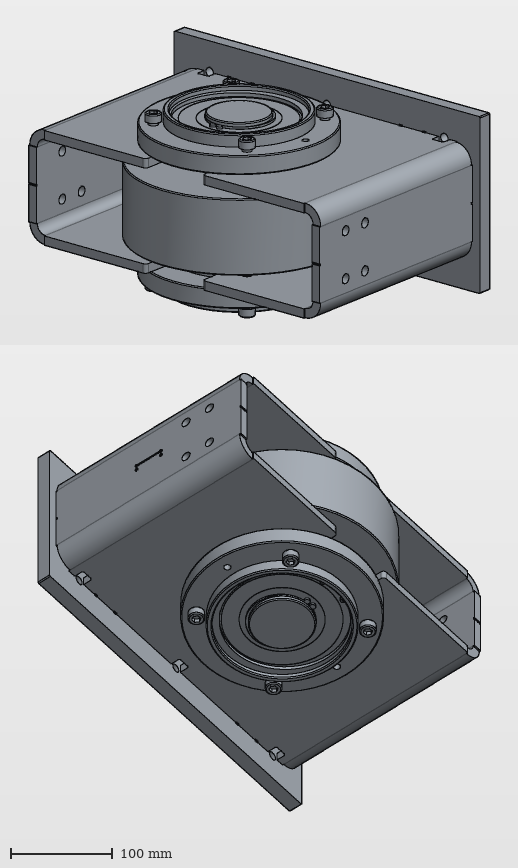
import cadquery as cq
import math


plate_width = 392.0
plate_height = 185.0
plate_thickness = 15.0
plate_back_y = 150.0
plate_front_y = plate_back_y - plate_thickness
plate_corner_chamfer = 1.0
plate_hole_radius = 4.7

bracket_width = 372.5
bracket_height = 120.0
sheet = 9.8
bend_radius = 20.0
bracket_front_y = -100.0
bracket_depth = plate_front_y - bracket_front_y
sheet_outer_z = bracket_height / 2
sheet_inner_z = sheet_outer_z - sheet
bend_setback = 1.5
seam_notch_width = 1.5
seam_notch_depth = 1.0

slot_half_width = 36.0
slot_corner_radius = 4.0
notch_spacing = 150.0
notch_xs = [-notch_spacing, 0, notch_spacing]
notch_width = 14.0
notch_depth = 10.5
notch_corner_radius = 2.0

tack_xs = [-124.5, -95.0, 95.0, 124.5]
tack_width = 4.0
tack_size = 1.0

side_hole_radius = 5.0
side_hole_ys = [-30.0, -60.0]
side_hole_z = 25.0
mark_y_start = 2.0
mark_y_end = 33.0
mark_top_z = 6.0
mark_groove_width = 1.0
mark_dot_radius = 1.5
mark_depth = 1.0

wheel_radius = 115.0
wheel_width = 80.0
wheel_chamfer = 1.0
shaft_radius = 33.5
shaft_end_z = 90.5
shaft_ring_radius = 35.0
shaft_ring_offset = 1.5
shaft_ring_thickness = 2.5
shaft_lug_x = 4.5
shaft_lug_y = -35.3
shaft_lug_radius = 3.0

housing_span = 186.2
housing_top_z = housing_span / 2
flange_radius = 100.0
flange_thickness = 20.0
flange_top_z = sheet_outer_z + flange_thickness
collar_radius = 75.0
edge_chamfer = 1.0
spigot_radius = 70.0
relief_depth = 1.5
relief_height = 4.0
pocket_radius = 69.0
floor_z = 84.0
shield_outer_radius = 60.0
shield_inner_radius = 42.5
shield_recess = 0.5

pocket_ring_top_z = 88.0
pocket_ring_inner_radius = 64.5
pocket_ring_offset = -3.5
pocket_ring_gap = 26.0
pocket_lug_x = 15.5
pocket_lug_y = -65.0
pocket_lug_radius = 3.0
pocket_lug_eye_radius = 1.0

grease_hole_x = 85.0
grease_hole_radius = 3.5

screw_pitch = 120.0
screw_radius = 5.0
screw_tip_z = 48.0
screw_tip_chamfer = 1.5
screw_head_radius = 8.2
screw_head_chamfer = 1.0
screw_head_z = 83.5
screw_top_z = 92.5
socket_width = 8.0
socket_depth = 4.7
screw_points = [(sx * screw_pitch / 2, sy * screw_pitch / 2) for sx in (-1, 1) for sy in (-1, 1)]


def cylinder(radius, bottom_z, top_z, points=((0, 0),)):
    """Upright cylinders of one radius at the given XY points."""
    base = cq.Workplane("XY", origin=(0, 0, bottom_z))
    return base.pushPoints(points).circle(radius).extrude(top_z - bottom_z)


def block(x_size, y_size, z_size, center):
    """Box of the given sizes around a centre point."""
    return cq.Workplane("XY", origin=center).box(x_size, y_size, z_size)


def build_plate():
    middle_y = plate_back_y - plate_thickness / 2
    plate = block(plate_width, plate_thickness, plate_height, (0, middle_y, 0))
    plate = plate.edges("|Y").chamfer(plate_corner_chamfer)
    hole_points = [(x, z) for x in notch_xs for z in (-sheet_outer_z, sheet_outer_z)]
    holes = (
        cq.Workplane("XZ", origin=(0, plate_back_y, 0))
        .pushPoints(hole_points)
        .circle(plate_hole_radius)
        .extrude(plate_thickness)
    )
    return plate.cut(holes)


def cut_bend_setbacks(bracket):
    """Shorten the four bends at both ends of the loop."""
    for x_side in (-1, 1):
        for z_side in (-1, 1):
            x = x_side * (bracket_width - bend_radius) / 2
            z = z_side * (bracket_height - bend_radius) / 2
            for y in (bracket_front_y, plate_front_y):
                bracket = bracket.cut(block(bend_radius, 2 * bend_setback, bend_radius, (x, y, z)))
    return bracket


def cut_seam_notches(bracket):
    """Nick the ends of both side walls at mid-height."""
    for y in (bracket_front_y, plate_front_y):
        bracket = bracket.cut(block(bracket_width, 2 * seam_notch_depth, seam_notch_width, (0, y, 0)))
    return bracket


def cut_sheet_openings(bracket):
    """Cut the spigot bores, shaft slots, plate-side notches and screw holes through both sheets."""
    bracket = bracket.cut(cylinder(spigot_radius, -sheet_outer_z, sheet_outer_z))
    slot_depth = -bracket_front_y
    slot = block(2 * slot_half_width, slot_depth, bracket_height, (0, -slot_depth / 2, 0))
    bracket = bracket.cut(slot)
    slot_corners = cq.selectors.BoxSelector(
        (-slot_half_width - slot_corner_radius, bracket_front_y - slot_corner_radius, -sheet_outer_z),
        (slot_half_width + slot_corner_radius, bracket_front_y + slot_corner_radius, sheet_outer_z),
    )
    bracket = bracket.edges("|Z").edges(slot_corners).fillet(slot_corner_radius)
    for x in notch_xs:
        notch = block(notch_width, notch_depth, bracket_height, (x, plate_front_y - notch_depth / 2, 0))
        bracket = bracket.cut(notch.edges("|Z and <Y").fillet(notch_corner_radius))
    return bracket.cut(cylinder(screw_radius, -sheet_outer_z, sheet_outer_z, screw_points))


def cut_side_holes(bracket):
    points = [(y, z) for y in side_hole_ys for z in (-side_hole_z, side_hole_z)]
    holes = (
        cq.Workplane("YZ", origin=(-bracket_width / 2, 0, 0))
        .pushPoints(points)
        .circle(side_hole_radius)
        .extrude(bracket_width)
    )
    return bracket.cut(holes)


def engrave_side_mark(bracket):
    """Shallow three-sided outline with round ends and corners in the -X wall."""
    x = -bracket_width / 2
    depth = 2 * mark_depth
    middle_y = (mark_y_start + mark_y_end) / 2
    length = mark_y_end - mark_y_start
    bracket = bracket.cut(block(depth, length, mark_groove_width, (x, middle_y, mark_top_z)))
    for y in (mark_y_start, mark_y_end):
        bracket = bracket.cut(block(depth, mark_groove_width, mark_top_z, (x, y, mark_top_z / 2)))
    dots = (
        cq.Workplane("YZ", origin=(x, 0, 0))
        .pushPoints([(y, z) for y in (mark_y_start, mark_y_end) for z in (0, mark_top_z)])
        .circle(mark_dot_radius)
        .extrude(mark_depth)
    )
    return bracket.cut(dots)


def add_tack_welds(bracket):
    """Small tacks standing on both faces of both sheets, against the plate."""
    for x in tack_xs:
        for z_side in (-1, 1):
            center = (x, plate_front_y - tack_size / 2, z_side * (sheet_outer_z + sheet_inner_z) / 2)
            bracket = bracket.union(block(tack_width, tack_size, sheet + 2 * tack_size, center))
    return bracket


def build_bracket():
    middle_y = (plate_front_y + bracket_front_y) / 2
    outer = block(bracket_width, bracket_depth, bracket_height, (0, middle_y, 0))
    outer = outer.edges("|Y").fillet(bend_radius)
    inner = block(bracket_width - 2 * sheet, bracket_depth, bracket_height - 2 * sheet, (0, middle_y, 0))
    inner = inner.edges("|Y").fillet(bend_radius - sheet)
    bracket = outer.cut(inner)
    bracket = cut_bend_setbacks(bracket)
    bracket = cut_seam_notches(bracket)
    bracket = cut_sheet_openings(bracket)
    bracket = cut_side_holes(bracket)
    bracket = engrave_side_mark(bracket)
    return add_tack_welds(bracket)


def build_shaft_ring():
    """Retaining ring with two lugs, lying on the floor of the upper housing."""
    ring_top_z = floor_z + shaft_ring_thickness
    ring = cylinder(shaft_ring_radius, floor_z, ring_top_z, [(0, shaft_ring_offset)])
    lug_points = [(-shaft_lug_x, shaft_lug_y), (shaft_lug_x, shaft_lug_y)]
    return ring.union(cylinder(shaft_lug_radius, floor_z, ring_top_z, lug_points))


def build_wheel():
    wheel = cylinder(wheel_radius, -wheel_width / 2, wheel_width / 2).edges().chamfer(wheel_chamfer)
    wheel = wheel.union(cylinder(shaft_radius, -shaft_end_z, shaft_end_z).edges().chamfer(edge_chamfer))
    ring = build_shaft_ring()
    return wheel.union(ring).union(ring.mirror("XY"))


def build_screw():
    tip = cylinder(screw_radius, screw_tip_z, screw_head_z).faces("<Z").chamfer(screw_tip_chamfer)
    head = cylinder(screw_head_radius, screw_head_z, screw_top_z).faces(">Z").chamfer(screw_head_chamfer)
    socket = (
        cq.Workplane("XY", origin=(0, 0, screw_top_z - socket_depth))
        .polygon(6, socket_width / math.cos(math.pi / 6))
        .extrude(socket_depth)
    )
    return tip.union(head).cut(socket)


def build_pocket_ring():
    """Retaining ring with two lugs, fixed in the pocket of a housing."""
    ring = cylinder(pocket_radius, floor_z, pocket_ring_top_z)
    opening = cylinder(pocket_ring_inner_radius, floor_z, pocket_ring_top_z, [(0, pocket_ring_offset)])
    lug_points = [(-pocket_lug_x, pocket_lug_y), (pocket_lug_x, pocket_lug_y)]
    lugs = cylinder(pocket_lug_radius, floor_z, pocket_ring_top_z, lug_points)
    eyes = cylinder(pocket_lug_eye_radius, floor_z, pocket_ring_top_z, lug_points)
    gap = block(
        pocket_ring_gap,
        pocket_radius,
        pocket_ring_top_z - floor_z,
        (0, -pocket_radius / 2, (floor_z + pocket_ring_top_z) / 2),
    )
    gap = gap.intersect(cylinder(pocket_radius, floor_z, pocket_ring_top_z))
    return ring.cut(opening).union(lugs).cut(eyes).cut(gap)


def build_housing(z_side):
    """Bearing housing with its four screws, above (z_side 1) or below (z_side -1) the wheel."""
    housing = cylinder(flange_radius, sheet_outer_z, flange_top_z).edges().chamfer(edge_chamfer)
    collar = cylinder(collar_radius, flange_top_z, housing_top_z)
    collar = collar.cut(cylinder(pocket_radius, floor_z, housing_top_z))
    collar = collar.faces(">Z").chamfer(edge_chamfer)
    spigot = cylinder(spigot_radius, sheet_inner_z, sheet_outer_z - relief_height)
    neck = cylinder(spigot_radius - relief_depth, sheet_outer_z - relief_height, sheet_outer_z)
    housing = housing.union(collar).union(spigot).union(neck)

    shield_bottom_z = floor_z - shield_recess
    shield = cylinder(shield_outer_radius, shield_bottom_z, floor_z)
    shield = shield.cut(cylinder(shield_inner_radius, shield_bottom_z, floor_z))
    housing = housing.cut(shield).union(build_pocket_ring())

    housing = housing.cut(cylinder(shaft_radius, sheet_inner_z, floor_z))
    grease_points = [(-grease_hole_x, 0), (grease_hole_x, 0)]
    housing = housing.cut(cylinder(grease_hole_radius, sheet_outer_z, flange_top_z, grease_points))
    screw = build_screw()
    for x, y in screw_points:
        housing = housing.union(screw.translate((x, y, 0)))
    return housing if z_side > 0 else housing.mirror("XY")


plate = build_plate()
bracket = build_bracket()
wheel = build_wheel()
housings = [build_housing(z_side) for z_side in (1, -1)]

result = cq.Compound.makeCompound(
    [plate.val(), bracket.val(), wheel.val(), *[housing.val() for housing in housings]]
)